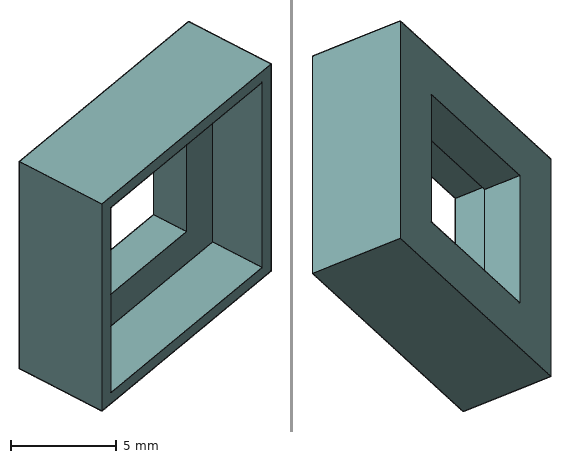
import cadquery as cq

frame_side = 13.0
frame_depth = 5.0
window_side = 7.6
ledge_width = 2.0
ledge_thickness = 2.0

pocket_side = window_side + 2 * ledge_width
pocket_depth = frame_depth - ledge_thickness


def square_block(side, start_x, length):
    """Square block centred on the X axis, running in +X from start_x."""
    return cq.Workplane("YZ", origin=(start_x, 0, 0)).rect(side, side).extrude(length)


frame = square_block(frame_side, 0, frame_depth)
window = square_block(window_side, 0, frame_depth)
pocket = square_block(pocket_side, ledge_thickness, pocket_depth)

result = frame.cut(window).cut(pocket)